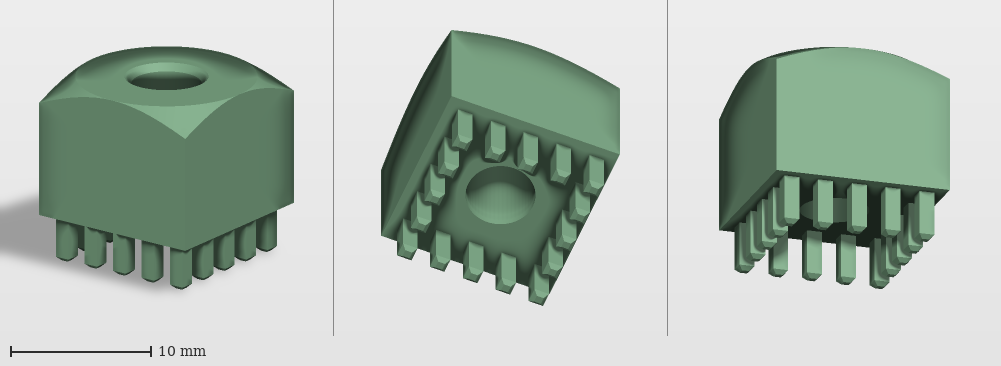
import cadquery as cq
import math

body_width = 13.0
total_height = 13.5
body_height = 10.0
pin_length = total_height - body_height

crown_angle = 30.0

hole_diameter = 5.0
countersink_diameter = 6.0
countersink_angle = 90.0

pins_per_side = 5
pin_pitch = 2.54
pin_width = 1.12
tip_chamfer = 0.3
tip_width = pin_width - 2 * tip_chamfer


def make_body():
    """Square block, underside at Z = 0, trimmed by the crown cone."""
    block = cq.Workplane("XY").box(body_width, body_width, body_height, centered=(True, True, False))
    face_radius = body_width / 2
    corner_radius = face_radius * math.sqrt(2)
    crown_drop = (corner_radius - face_radius) * math.tan(math.radians(crown_angle))
    crown_envelope = (
        cq.Workplane("XZ")
        .lineTo(corner_radius, 0)
        .lineTo(corner_radius, body_height - crown_drop)
        .lineTo(face_radius, body_height)
        .lineTo(0, body_height)
        .close()
        .revolve(360, (0, 0), (0, 1))
    )
    return block.intersect(crown_envelope)


def cut_center_hole(body):
    """Through hole, countersunk from the top."""
    return body.faces(">Z").workplane(origin=(0, 0, body_height)).cskHole(
        hole_diameter, countersink_diameter, countersink_angle
    )


def make_pin():
    """One square pin hanging from Z = 0, with a tip chamfered at 45 degrees."""
    shank_length = pin_length - tip_chamfer
    shank = cq.Workplane("XY").rect(pin_width, pin_width).extrude(-shank_length)
    tip = (
        cq.Workplane("XY", origin=(0, 0, -shank_length))
        .rect(pin_width, pin_width)
        .workplane(offset=-tip_chamfer)
        .rect(tip_width, tip_width)
        .loft(combine=True)
    )
    return shank.union(tip)


def border_positions():
    """Centres of the outermost pins of the square grid."""
    last = pins_per_side - 1
    return [
        ((column - last / 2) * pin_pitch, (row - last / 2) * pin_pitch)
        for column in range(pins_per_side)
        for row in range(pins_per_side)
        if column in (0, last) or row in (0, last)
    ]


result = cut_center_hole(make_body())
pin = make_pin()
for x, y in border_positions():
    result = result.union(pin.translate((x, y, 0)))